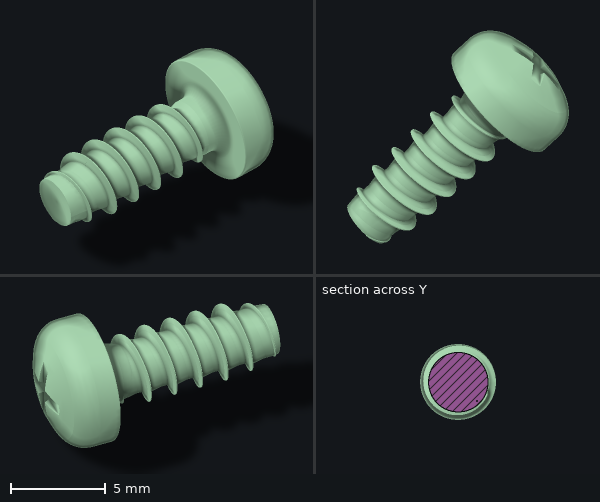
import cadquery as cq
import math


head_radius = 3.5
crown_radius = 5.87
shoulder_radius = 1.37
crown_apex = 3.08
rim_fillet = 0.07

recess_floor = 2.8
recess_floor_width = 0.65
recess_mouth_width = 0.82

shank_length = 10.0
core_radius = 1.4
neck_radius = 1.58
neck_fillet = 0.6
neck_end = -0.99
neck_taper_end = -1.6
point_radius = 1.37
point_taper_slope = 0.12
point_rim_radius = 1.29
point_dimple_depth = 0.1

pitch = 1.46
crest_radius = 2.0
crest_width = 0.05
knee_drop = 0.29
knee_offset = 0.1
head_side_root = 0.27
point_side_root = 0.18
collar_radius = 1.51
collar_length = 0.69
collar_lip = 0.07
collar_taper_run = 0.9
root_overlap = 0.1

crest_at_plus_x = -3.07
start_turns = 1.0
collar_lead_turns = 0.5
full_turns = 3.75
fade_turns = 1.5
start_crest_radius = 1.67
fade_crest_radius = 1.41
thread_top = crest_at_plus_x + 1.5 * pitch
full_top = thread_top - start_turns * pitch
full_bottom = full_top - full_turns * pitch
fade_bottom = full_bottom - fade_turns * pitch


def make_head():
    """Revolved head: bearing face, rounded rim, cylinder, tangent shoulder arc and crown."""
    crown_center = crown_apex - crown_radius
    shoulder_center_r = head_radius - shoulder_radius
    tangent_angle = math.asin(shoulder_center_r / (crown_radius - shoulder_radius))
    shoulder_center_z = crown_center + (crown_radius - shoulder_radius) * math.cos(tangent_angle)

    def on_crown(angle):
        return crown_radius * math.sin(angle), crown_center + crown_radius * math.cos(angle)

    shoulder_angle = (tangent_angle + math.pi / 2) / 2
    shoulder_middle = (
        shoulder_center_r + shoulder_radius * math.sin(shoulder_angle),
        shoulder_center_z + shoulder_radius * math.cos(shoulder_angle),
    )
    return (
        cq.Workplane("XZ")
        .lineTo(head_radius - rim_fillet, 0)
        .radiusArc((head_radius, rim_fillet), -rim_fillet)
        .lineTo(head_radius, shoulder_center_z)
        .threePointArc(shoulder_middle, on_crown(tangent_angle))
        .threePointArc(on_crown(tangent_angle / 2), (0, crown_apex))
        .close()
        .revolve(360, (0, 0), (0, 1))
    )


def make_recess():
    """Two crossing tapered slots that run out through the crown."""
    slot = (
        cq.Workplane("XZ")
        .polyline([
            (-recess_floor_width / 2, recess_floor),
            (recess_floor_width / 2, recess_floor),
            (recess_mouth_width / 2, crown_apex),
            (-recess_mouth_width / 2, crown_apex),
        ])
        .close()
        .extrude(head_radius, both=True)
    )
    return slot.union(slot.rotate((0, 0, 0), (0, 0, 1), 90))


def make_neck():
    """Revolved neck: underhead fillet, cylinder and a taper whose end is buried in the core."""
    taper_slope = (neck_radius - core_radius) / (neck_end - neck_taper_end)
    buried = core_radius - root_overlap
    buried_end = neck_taper_end - root_overlap / taper_slope
    return (
        cq.Workplane("XZ")
        .moveTo(0, rim_fillet)
        .lineTo(neck_radius + neck_fillet, rim_fillet)
        .lineTo(neck_radius + neck_fillet, 0)
        .radiusArc((neck_radius, -neck_fillet), -neck_fillet)
        .lineTo(neck_radius, neck_end)
        .lineTo(buried, buried_end)
        .lineTo(0, buried_end)
        .close()
        .revolve(360, (0, 0), (0, 1))
    )


def make_point_dimple():
    """Shallow cone that hollows the flat point."""
    return (
        cq.Workplane("XZ")
        .moveTo(0, -shank_length)
        .lineTo(point_rim_radius, -shank_length)
        .lineTo(0, -shank_length + point_dimple_depth)
        .close()
        .revolve(360, (0, 0), (0, 1))
    )


def sweep_helix(profile, bottom, turns, bottom_radius, top_radius):
    """Sweep (radius, axial offset) points up a cylindrical or conical helix that starts at `bottom`."""
    height = turns * pitch
    cone_angle = math.atan2(top_radius - bottom_radius, height)
    slant = 1 / math.cos(cone_angle)
    if cone_angle == 0:
        path = cq.Wire.makeHelix(pitch, height, bottom_radius)
    else:
        path = cq.Wire.makeHelix(pitch * slant, height * slant, bottom_radius, angle=math.degrees(cone_angle))
    ridge = cq.Workplane("XZ").polyline(profile).close().sweep(cq.Workplane(path), isFrenet=True)
    start_angle = 360 * (bottom - crest_at_plus_x) / pitch
    return ridge.rotate((0, 0, 0), (0, 0, 1), start_angle).translate((0, 0, bottom))


def make_tooth(bottom, turns, bottom_radius, top_radius):
    """One stretch of thread tooth, its crest following the given radii."""
    root = bottom_radius - (crest_radius - core_radius)
    flank_slope = (point_side_root - crest_width / 2) / (crest_radius - collar_radius)
    buried = root - root_overlap
    profile = [
        (buried, -crest_width / 2 - flank_slope * (bottom_radius - buried)),
        (bottom_radius, -crest_width / 2),
        (bottom_radius, crest_width / 2),
        (bottom_radius - knee_drop, knee_offset),
        (root, head_side_root),
        (buried, head_side_root),
    ]
    return sweep_helix(profile, bottom, turns, bottom_radius, top_radius)


def make_collar():
    """Raised taper that follows the point side of the tooth along the whole thread."""
    taper_slope = (collar_radius - core_radius) / collar_length
    buried = core_radius - root_overlap
    profile = [
        (buried, head_side_root / 2),
        (collar_radius + taper_slope * collar_lip, -point_side_root + collar_lip),
        (collar_radius - taper_slope * collar_taper_run, -point_side_root - collar_taper_run),
        (buried, -point_side_root - collar_taper_run),
    ]
    turns = collar_lead_turns + start_turns + full_turns + fade_turns
    return sweep_helix(profile, fade_bottom, turns, core_radius, core_radius)


def make_point_taper():
    """Slender cone that widens from the point and trims the core and the collar near it."""
    return (
        cq.Workplane("XZ")
        .moveTo(0, -shank_length)
        .lineTo(point_radius, -shank_length)
        .lineTo(point_radius + point_taper_slope * shank_length, 0)
        .lineTo(0, 0)
        .close()
        .revolve(360, (0, 0), (0, 1))
    )


def make_threaded_core():
    """Cylindrical core with collar and teeth, cut flush at the neck shoulder and at the point."""
    core = cq.Workplane("XY").circle(core_radius).extrude(-shank_length - pitch)
    core = core.union(make_collar()).intersect(make_point_taper())
    core = core.union(make_tooth(full_bottom, full_turns, crest_radius, crest_radius))
    core = core.union(make_tooth(full_top, start_turns, crest_radius, start_crest_radius))
    core = core.union(make_tooth(fade_bottom, fade_turns, fade_crest_radius, crest_radius))
    threaded_zone = (
        cq.Workplane("XY")
        .workplane(offset=-shank_length)
        .circle(head_radius)
        .extrude(shank_length + neck_end)
    )
    return core.intersect(threaded_zone)


screw = make_threaded_core()
screw = screw.union(make_neck())
screw = screw.union(make_head().cut(make_recess()))
screw = screw.cut(make_point_dimple())

result = screw.rotate((0, 0, 0), (1, 0, 0), -90)